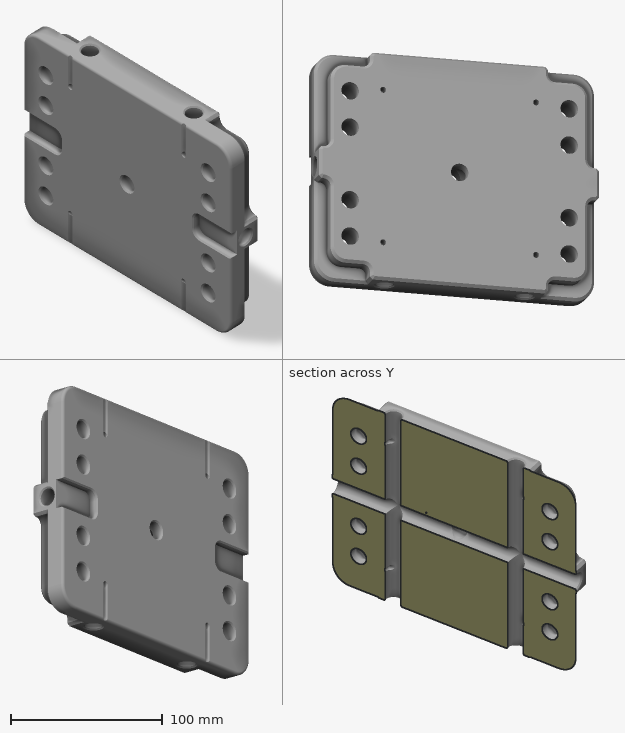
import cadquery as cq

length = 192.0
height = 156.0
thickness = 27.0
corner_radius = 14.0
front_round = 2.0
edge_chamfer = 2.0
chamfer_angle = 45

recess_floor = 15.0
upright_width = 122.0
crossbar_width = 22.0
side_inset = 8.0
end_inset = 10.0
arm_root_radius = 5.0
raised_corner_radius = 10.0

hole_diameter = 12.0
hole_chamfer = 1.0
column_x = 75.0
row_pitch = 25.0
cross_hole_x = 48.0
cross_hole_y = 14.0

pocket_length = 35.0
pocket_width = 20.0
pocket_depth = 6.0
pocket_radius = 6.0
pocket_chamfer = 1.0

groove_x = 52.5
groove_hole_z = 52.5
groove_width = 4.0
groove_depth = 1.0
groove_radius = (groove_width**2 / 4 + groove_depth**2) / (2 * groove_depth)

half_length = length / 2
half_height = height / 2
half_upright = upright_width / 2
half_crossbar = crossbar_width / 2
core_x = half_length - side_inset
core_z = half_height - end_inset
tolerance = 0.002


def at_depth(y):
    """Sketch plane at depth y: local x is X, local y is Z; negative extrusions go toward +Y."""
    return cq.Workplane("XZ", origin=(0, y, 0))


def in_all_corners(solid):
    """The solid together with its mirror images in the other three quadrants."""
    pair = solid.union(solid.mirror("YZ"))
    return pair.union(pair.mirror("XY"))


def corner_recess():
    """L-shaped cut in the back of the +X +Z corner, between the raised cross and the plate edge."""
    recess = (
        at_depth(recess_floor)
        .moveTo(half_upright, length)
        .lineTo(half_upright, core_z)
        .lineTo(core_x, core_z)
        .lineTo(core_x, half_crossbar)
        .lineTo(length, half_crossbar)
        .lineTo(length, length)
        .close()
        .extrude(recess_floor - thickness)
    )

    def edge_at(x, z):
        return cq.selectors.NearestToPointSelector((x, (recess_floor + thickness) / 2, z))

    recess = recess.edges(edge_at(core_x, core_z)).fillet(raised_corner_radius)
    recess = recess.edges(edge_at(half_upright, core_z)).fillet(arm_root_radius)
    return recess.edges(edge_at(core_x, half_crossbar)).fillet(arm_root_radius)


def is_step_edge(edge):
    """Outer edges of the recess floors and the upright corner edges at the ends of the arms."""
    x, y, z = (abs(value) for value in edge.Center().toTuple())
    on_corner_arc = x > core_x and z > core_z
    on_rim = on_corner_arc or x > half_length - tolerance or z > half_height - tolerance
    return on_rim and recess_floor - tolerance < y < thickness - tolerance


def cylinder(start, direction, radius, depth):
    return cq.Workplane(cq.Plane(origin=start, normal=direction)).circle(radius).extrude(depth)


def countersink(start, direction):
    """Conical cutter for the chamfered mouth of a hole."""
    rim = cq.Workplane(cq.Plane(origin=start, normal=direction)).circle(hole_diameter / 2 + hole_chamfer)
    return rim.extrude(hole_chamfer, taper=chamfer_angle)


def thickness_hole(x, z):
    """Hole through the thickness, chamfered at the front."""
    start = (x, 0, z)
    drill = cylinder(start, (0, 1, 0), hole_diameter / 2, thickness)
    return drill.union(countersink(start, (0, 1, 0)))


def height_hole(x):
    """Hole along the full height, chamfered at both ends."""
    bottom = (x, cross_hole_y, -half_height)
    top = (x, cross_hole_y, half_height)
    drill = cylinder(bottom, (0, 0, 1), hole_diameter / 2, height)
    return drill.union(countersink(bottom, (0, 0, 1))).union(countersink(top, (0, 0, -1)))


def length_hole():
    """Hole along the full length through the crossbar, chamfered at both ends."""
    left = (-half_length, cross_hole_y, 0)
    right = (half_length, cross_hole_y, 0)
    drill = cylinder(left, (1, 0, 0), hole_diameter / 2, length)
    return drill.union(countersink(left, (1, 0, 0))).union(countersink(right, (-1, 0, 0)))


def side_pocket(x):
    """Round-cornered pocket centred on the side face at x, with a chamfered mouth."""

    def outline(growth):
        size = cq.Sketch().rect(2 * (pocket_length + growth), pocket_width + 2 * growth)
        return size.vertices().fillet(pocket_radius + growth)

    well = at_depth(0).center(x, 0).placeSketch(outline(0)).extrude(-pocket_depth)
    mouth = at_depth(0).center(x, 0).placeSketch(outline(pocket_chamfer))
    mouth = mouth.extrude(-pocket_chamfer, taper=chamfer_angle)
    return well.union(mouth)


def groove():
    """Groove to the upper edge and the small through hole at its inner end, in the +X +Z quadrant."""
    axis_y = groove_depth - groove_radius
    start = (groove_x, axis_y, groove_hole_z)
    channel = cylinder(start, (0, 0, 1), groove_radius, half_height - groove_hole_z)
    inner_hole = cylinder((groove_x, 0, groove_hole_z), (0, 1, 0), groove_width / 2, thickness)
    return channel.union(inner_hole)


plate = at_depth(0).rect(length, height).extrude(-thickness).edges("|Y").fillet(corner_radius)
body = plate.cut(in_all_corners(corner_recess()))
body = body.edges().filter(is_step_edge).chamfer(edge_chamfer)
body = body.faces(">Y").chamfer(edge_chamfer)
body = body.faces("<Y").fillet(front_round)

body = body.cut(in_all_corners(groove()))
body = body.cut(thickness_hole(0, 0))
body = body.cut(length_hole())
for side in (-1, 1):
    body = body.cut(side_pocket(side * half_length))
    body = body.cut(height_hole(side * cross_hole_x))
    for row in (-2, -1, 1, 2):
        body = body.cut(thickness_hole(side * column_x, row * row_pitch))

result = body